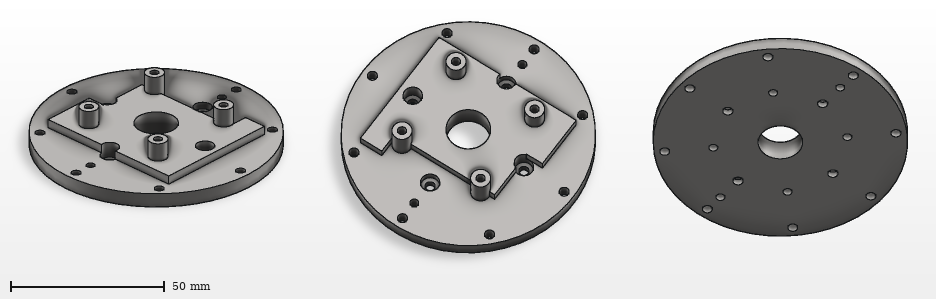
import cadquery as cq

base_diameter = 82.8
base_thickness = 5.0
bore_diameter = 14.5

plate_thickness = 3.1
plate_half_width = 27.1
plate_front_y = -22.6
plate_back_y = 22.6
back_edge_y = 15.15
left_step_x = -20.8
right_step_x = 18.6

inner_circle_radius = 21.95
post_diameter = 6.5
post_hole_diameter = 2.9
overall_height = 14.5
counterbore_diameter = 6.3
counterbore_depth = 2.5
screw_hole_diameter = 3.3
left_step_y = -counterbore_diameter / 2

rim_circle_radius = 37.8
rim_hole_count = 8
rim_hole_diameter = 3.2
small_hole_y = 31.05
small_hole_diameter = 2.9


def circle_points(radius, count, start_angle=0):
    """Workplane with evenly spaced points on a circle about the Z axis."""
    return cq.Workplane("XY").polarArray(radius, start_angle, 360, count)


def through_holes(points, diameter):
    """Cylinders running the full height of the part."""
    return points.circle(diameter / 2).extrude(overall_height)


def make_plate():
    outline = [
        (-plate_half_width, plate_front_y),
        (plate_half_width, plate_front_y),
        (plate_half_width, plate_back_y),
        (right_step_x, plate_back_y),
        (right_step_x, back_edge_y),
        (left_step_x, back_edge_y),
        (left_step_x, left_step_y),
        (-plate_half_width, left_step_y),
    ]
    plate = cq.Workplane("XY").polyline(outline).close().extrude(plate_thickness)
    return plate.translate((0, 0, base_thickness))


def make_posts():
    post_height = overall_height - base_thickness
    posts = circle_points(inner_circle_radius, 4, 45).circle(post_diameter / 2).extrude(post_height)
    return posts.translate((0, 0, base_thickness))


def make_counterbores():
    depth_from_plate_top = plate_thickness + counterbore_depth
    bores = circle_points(inner_circle_radius, 4).circle(counterbore_diameter / 2)
    return bores.extrude(depth_from_plate_top).translate((0, 0, base_thickness - counterbore_depth))


small_hole_points = cq.Workplane("XY").pushPoints([(0, small_hole_y), (0, -small_hole_y)])

base = cq.Workplane("XY").circle(base_diameter / 2).extrude(base_thickness)
body = base.union(make_plate()).union(make_posts())

result = (
    body.cut(make_counterbores())
    .cut(through_holes(cq.Workplane("XY"), bore_diameter))
    .cut(through_holes(circle_points(inner_circle_radius, 4), screw_hole_diameter))
    .cut(through_holes(circle_points(inner_circle_radius, 4, 45), post_hole_diameter))
    .cut(through_holes(circle_points(rim_circle_radius, rim_hole_count), rim_hole_diameter))
    .cut(through_holes(small_hole_points, small_hole_diameter))
)